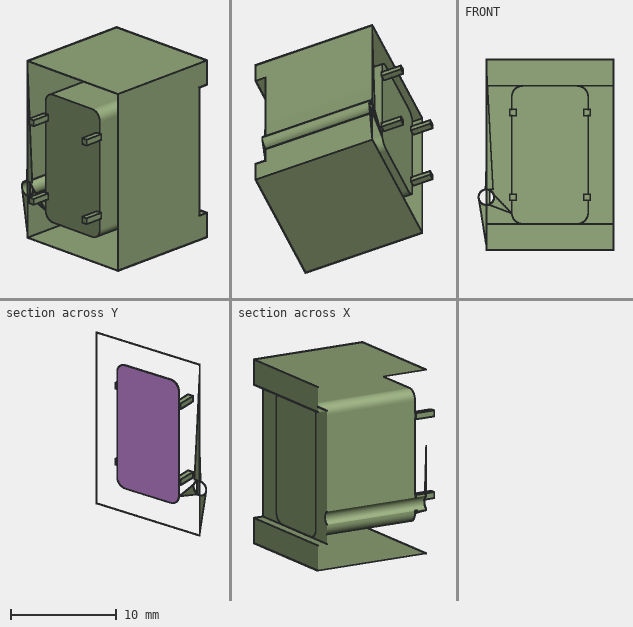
import cadquery as cq

WIDTH = 12.0
DEPTH = 12.0
HEIGHT = 18.0
WALL = 0.04
STEP_DEPTH = 1.0
FLANGE_HEIGHT = 2.5
REAR_Y = DEPTH - STEP_DEPTH

CORE_WIDTH = 7.2
CORE_LEFT = (WIDTH - CORE_WIDTH) / 2
CORE_RADIUS = 1.0

PIN_SIZE = 0.6
PIN_LENGTH = 2.0
PIN_PITCH_X = 7.0
PIN_PITCH_Z = 8.0

TUBE_DIAMETER = 1.5
TUBE_RADIUS = TUBE_DIAMETER / 2
TUBE_Z = (HEIGHT - PIN_PITCH_Z) / 2
TUBE_TOP = TUBE_Z + TUBE_RADIUS
TUBE_BOTTOM = TUBE_Z - TUBE_RADIUS

GUSSET_FOOT = 0.36
WEB_TOP = HEIGHT - 0.45
WEB_WIDTH = 0.63
STRIP_WIDTH = 0.35
BRACE_TIP_Z = 3.47
BRACE_RISE = 0.18
RAMP_TOP = 8.33
RAMP_RISE = 0.09


def block(x_min, x_max, y_min, y_max, z_min, z_max):
    """Box between the given limits."""
    size = (x_max - x_min, y_max - y_min, z_max - z_min)
    return cq.Workplane("XY").box(*size, centered=False).translate((x_min, y_min, z_min))


def plate(points, y_start, thickness):
    """Polygon of (x, z) points extruded toward +Y."""
    outline = cq.Workplane("XZ", origin=(0, y_start, 0)).polyline(points).close()
    return outline.extrude(-thickness)


def cylinder(radius):
    """Cylinder on the tube axis, from the front to the rear wall."""
    return cq.Workplane("XZ").center(0, TUBE_Z).circle(radius).extrude(-REAR_Y)


def stepped_block(inset, y_front):
    """Block with a rear recess, inset evenly from the outer skin."""
    body = block(inset, WIDTH - inset, y_front, DEPTH - inset, inset, HEIGHT - inset)
    recess = block(
        0, WIDTH, REAR_Y - inset, DEPTH,
        FLANGE_HEIGHT - inset, HEIGHT - FLANGE_HEIGHT + inset,
    )
    return body.cut(recess)


def make_case():
    return stepped_block(0, 0).cut(stepped_block(WALL, 0))


def make_core():
    core = block(
        CORE_LEFT, CORE_LEFT + CORE_WIDTH, 0, REAR_Y,
        FLANGE_HEIGHT, HEIGHT - FLANGE_HEIGHT,
    )
    return core.edges("|Y").fillet(CORE_RADIUS)


def make_front_web():
    """Thin web beside the left wall, with a brace from the tube to the core."""
    upper_web = [(0, WEB_TOP), (WEB_WIDTH, TUBE_TOP), (0, TUBE_TOP)]
    brace = [
        (STRIP_WIDTH, TUBE_BOTTOM),
        (TUBE_RADIUS, TUBE_Z + BRACE_RISE),
        (CORE_LEFT, BRACE_TIP_Z),
    ]
    return plate(upper_web, 0, WALL).union(plate(brace, 0, WALL))


def make_bore_strip():
    """Narrow strip that closes part of the bore next to the left wall."""
    strip = [
        (0, TUBE_BOTTOM),
        (STRIP_WIDTH, TUBE_BOTTOM),
        (STRIP_WIDTH, TUBE_TOP),
        (0, TUBE_TOP),
    ]
    return plate(strip, 0, WALL)


def make_gusset(y_start, foot_z):
    """Triangular web from the outside of the tube down the left wall."""
    return plate([(0, foot_z), (WALL, TUBE_Z), (-TUBE_RADIUS, TUBE_Z)], y_start, WALL)


def make_ramp():
    """Slight outward slope of the left wall above the tube."""
    return plate([(0, RAMP_TOP), (-RAMP_RISE, TUBE_TOP - WALL), (WALL, TUBE_TOP - WALL)], 0, REAR_Y)


def make_housing():
    left_wall = block(0, WALL, 0, REAR_Y, TUBE_BOTTOM, TUBE_TOP)
    housing = make_case().union(make_core()).union(make_front_web()).union(make_ramp())
    for y_start, foot_z in ((0, GUSSET_FOOT), (REAR_Y - WALL, FLANGE_HEIGHT)):
        housing = housing.union(make_gusset(y_start, foot_z))
    housing = housing.union(cylinder(TUBE_RADIUS)).cut(cylinder(TUBE_RADIUS - WALL))
    bore_fill = left_wall.union(make_bore_strip())
    return housing.union(bore_fill).solids()


def make_pin(x, z):
    """Square pin standing on the front of the core."""
    return cq.Workplane("XZ").center(x, z).rect(PIN_SIZE, PIN_SIZE).extrude(PIN_LENGTH)


housing = make_housing()
pins = []
for side_x in (-1, 1):
    for side_z in (-1, 1):
        pin_x = WIDTH / 2 + side_x * PIN_PITCH_X / 2
        pin_z = HEIGHT / 2 + side_z * PIN_PITCH_Z / 2
        pins.append(make_pin(pin_x, pin_z).val())

result = cq.Compound.makeCompound([housing.val(), *pins])